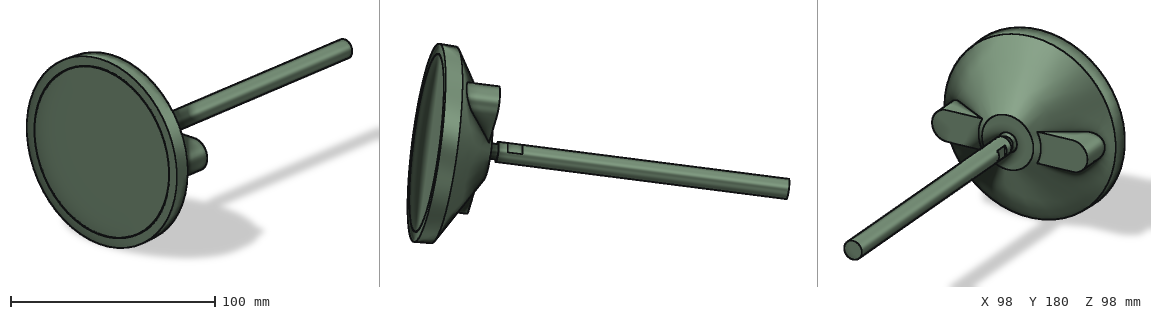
import cadquery as cq

total_length = 180.0
rim_height = 8.5
body_height = 30.0
arm_top = 28.0
ball_center = 26.8
rod_start = 35.1
flat_start = 39.6
flat_end = 47.0

base_diameter = 98.0
rim_diameter = 97.2
body_top_diameter = 29.2
groove_outer_diameter = 88.0
groove_inner_diameter = 87.5
groove_depth = 0.9

arm_span = 88.2
arm_width = 17.0

rod_diameter = 10.0
neck_diameter = 7.7
ball_diameter = 12.5
flat_distance = 8.1


def revolve_profile(points):
    """Turn a (radius, Y) outline around the Y axis."""
    outline = cq.Workplane("XY").polyline(points).close()
    return outline.revolve(360, (0, 0, 0), (0, 1, 0))


def make_foot():
    """Slightly tapered rim below a conical body."""
    return revolve_profile([
        (0, 0),
        (base_diameter / 2, 0),
        (rim_diameter / 2, rim_height),
        (body_top_diameter / 2, body_height),
        (0, body_height),
    ])


def make_arms():
    """Slot-shaped bar through the cone, standing on the rim."""
    bar = cq.Workplane("XZ", origin=(0, rim_height, 0)).slot2D(arm_span, arm_width)
    return bar.extrude(rim_height - arm_top)


def make_stem():
    """Ball sunk into the foot, with a narrow neck and a long rod on it."""
    ball = cq.Workplane("XY", origin=(0, ball_center, 0)).sphere(ball_diameter / 2)
    shaft = revolve_profile([
        (0, ball_center),
        (neck_diameter / 2, ball_center),
        (neck_diameter / 2, rod_start),
        (rod_diameter / 2, rod_start),
        (rod_diameter / 2, total_length),
        (0, total_length),
    ])
    return shaft.union(ball)


def make_wrench_cut(side):
    """Block that cuts one wrench flat into the rod; side is -1 or +1."""
    center_x = side * (flat_distance + rod_diameter) / 2
    center_y = (flat_start + flat_end) / 2
    block = cq.Workplane("XY").box(rod_diameter, flat_end - flat_start, rod_diameter)
    return block.translate((center_x, center_y, 0))


def make_face_groove():
    """Thin ring groove in the flat front face."""
    ring = cq.Workplane("XZ").circle(groove_outer_diameter / 2).circle(groove_inner_diameter / 2)
    return ring.extrude(-groove_depth)


result = make_foot().union(make_arms()).union(make_stem())
for side in (-1, 1):
    result = result.cut(make_wrench_cut(side))
result = result.cut(make_face_groove())